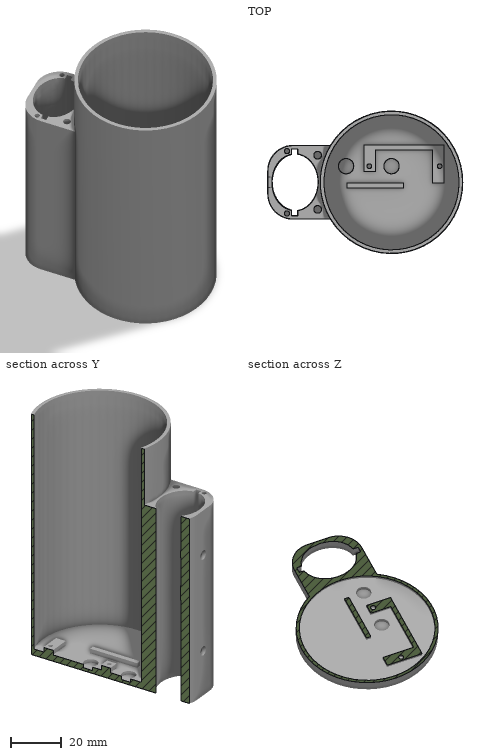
import cadquery as cq

tube_height = 108.0
tube_diameter = 56.3
tube_bore = 53.4
floor_thickness = 3.0
tube_radius = tube_diameter / 2

overall_length = 77.0
housing_height = 82.9
housing_width = 29.2
housing_corner = 10.0
housing_left = tube_radius - overall_length

oval_length_x = 18.3
oval_length_y = 22.4
side_wall = 1.6
oval_x = housing_left + side_wall + oval_length_x / 2
key_width = 2.4
key_span = 26.2
key_x = -38.2

screw_depth = 10.0
large_screw_diameter = 3.0
large_screw_x = -29.2
large_screw_y = 10.7
small_screw_diameter = 2.0
small_screw_x = -41.3
small_screw_y = 12.3

wall_hole_diameter = 4.0
wall_hole_heights = (20.0, 63.0)

raised_height = 2.0
bracket_left = -10.9
bracket_right = 20.7
bracket_back = 14.8
bracket_bar = 1.9
bracket_leg = 4.5
left_leg_length = 10.5
right_leg_length = 15.1
pilot_diameter = 1.8
pilot_y = 6.4
pilot_xs = (-8.7, 19.0)
rib_left = -17.5
rib_length = 22.1
rib_thickness = 2.0
rib_y = -1.3
recess_diameter = 6.0
recess_depth = floor_thickness / 2
recess_xs = (-17.9, 0.0)
recess_y = pilot_y


def block(x_min, x_max, y_min, y_max, z_min, height):
    """Axis-aligned box given by its X and Y limits, base level and height."""
    return (
        cq.Workplane("XY")
        .box(x_max - x_min, y_max - y_min, height, centered=False)
        .translate((x_min, y_min, z_min))
    )


def vertical_cylinders(points, diameter, z_min, height):
    """Equal upright cylinders standing on the given points."""
    return cq.Workplane("XY", origin=(0, 0, z_min)).pushPoints(points).circle(diameter / 2).extrude(height)


def make_housing():
    half_width = housing_width / 2
    body = block(housing_left, 0, -half_width, half_width, 0, housing_height)
    body = body.edges("|Z and <X").fillet(housing_corner)
    oval = cq.Workplane("XY").center(oval_x, 0).ellipse(oval_length_x / 2, oval_length_y / 2)
    body = body.cut(oval.extrude(housing_height))
    keys = block(
        key_x - key_width / 2, key_x + key_width / 2, -key_span / 2, key_span / 2, 0, housing_height
    )
    return body.cut(keys)


def cut_housing_holes(body):
    screw_base = housing_height - screw_depth
    large_points = [(large_screw_x, side * large_screw_y) for side in (-1, 1)]
    small_points = [(small_screw_x, side * small_screw_y) for side in (-1, 1)]
    body = body.cut(vertical_cylinders(large_points, large_screw_diameter, screw_base, screw_depth))
    body = body.cut(vertical_cylinders(small_points, small_screw_diameter, screw_base, screw_depth))
    wall_holes = (
        cq.Workplane("YZ", origin=(housing_left, 0, 0))
        .pushPoints([(0, height) for height in wall_hole_heights])
        .circle(wall_hole_diameter / 2)
        .extrude(oval_x - housing_left)
    )
    return body.cut(wall_holes)


def make_bracket():
    front_left = bracket_back - left_leg_length
    front_right = bracket_back - right_leg_length
    bar_front = bracket_back - bracket_bar
    bar = block(bracket_left, bracket_right, bar_front, bracket_back, floor_thickness, raised_height)
    left_leg = block(
        bracket_left, bracket_left + bracket_leg, front_left, bracket_back, floor_thickness, raised_height
    )
    right_leg = block(
        bracket_right - bracket_leg, bracket_right, front_right, bracket_back, floor_thickness, raised_height
    )
    pilots = vertical_cylinders([(x, pilot_y) for x in pilot_xs], pilot_diameter, floor_thickness, raised_height)
    return bar.union(left_leg).union(right_leg).cut(pilots)


def make_rib():
    half = rib_thickness / 2
    return block(rib_left, rib_left + rib_length, rib_y - half, rib_y + half, floor_thickness, raised_height)


tube = cq.Workplane("XY").circle(tube_radius).extrude(tube_height)
tube_cavity = vertical_cylinders([(0, 0)], tube_bore, floor_thickness, tube_height - floor_thickness)
floor_recesses = vertical_cylinders(
    [(x, recess_y) for x in recess_xs], recess_diameter, floor_thickness - recess_depth, recess_depth
)

result = cut_housing_holes(make_housing().union(tube))
result = result.cut(tube_cavity).cut(floor_recesses)
result = result.union(make_bracket()).union(make_rib())